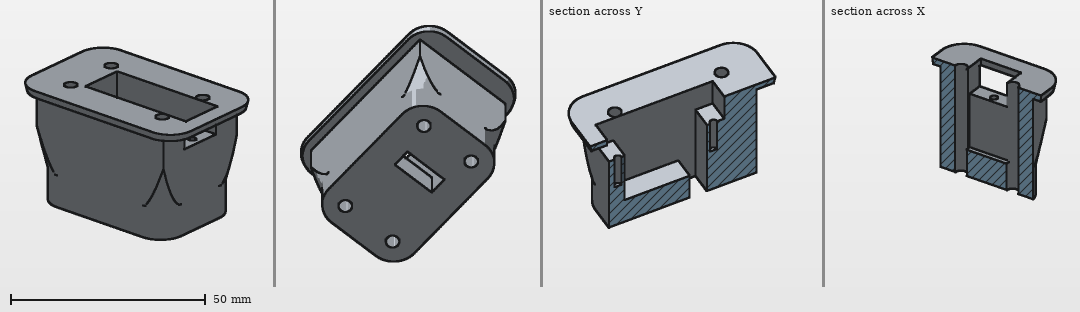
import cadquery as cq

TOTAL_HEIGHT = 32.0
FOOT_HEIGHT = 9.0
FOOT_LENGTH = 43.0
FOOT_WIDTH = 29.0
FLANGE_LENGTH = 54.0
FLANGE_WIDTH = 34.0
FLANGE_THICKNESS = 2.0
FLANGE_BOTTOM_Z = TOTAL_HEIGHT - FLANGE_THICKNESS
CORNER_RADIUS = 7.0

OPENING_CENTER_X = 5.0
OPENING_LENGTH = 34.0
POCKET_CENTER_X = 4.95
POCKET_LENGTH = 23.9
POCKET_WIDTH = 12.5
LEDGE_DEPTH = 8.0
DEPTH_BELOW_LEDGE = 16.0
LEDGE_Z = TOTAL_HEIGHT - LEDGE_DEPTH
FLOOR_Z = LEDGE_Z - DEPTH_BELOW_LEDGE
PASSAGE_LENGTH = 5.0

PILOT_DIAMETER = 2.0
PILOT_SPACING = 27.8
PILOT_DEPTH = 10.0
MOUNT_DIAMETER = 3.5
MOUNT_SPACING_X = 31.0
MOUNT_SPACING_Y = 16.0


def block(length, width, bottom_z, top_z, center_x=0.0):
    """Rectangular block centred on Y = 0, between two heights."""
    return (
        cq.Workplane("XY", origin=(center_x, 0, bottom_z))
        .rect(length, width)
        .extrude(top_z - bottom_z)
    )


def rounded_rectangle(length, width):
    """Sketch of a rectangle with the common corner radius."""
    return cq.Sketch().rect(length, width).vertices().fillet(CORNER_RADIUS)


def make_foot():
    """Straight foot with rounded corners."""
    return cq.Workplane("XY").placeSketch(rounded_rectangle(FOOT_LENGTH, FOOT_WIDTH)).extrude(FOOT_HEIGHT)


def make_flared_body():
    """Flare from the foot to the flange, trimmed flush with the foot sides below the flange.

    The trim leaves square corners under the flange that blend into the rounded foot corners.
    """
    foot_outline = rounded_rectangle(FOOT_LENGTH, FOOT_WIDTH)
    flange_outline = rounded_rectangle(FLANGE_LENGTH, FLANGE_WIDTH)
    flare_height = TOTAL_HEIGHT - FOOT_HEIGHT
    flare = (
        cq.Workplane("XY", origin=(0, 0, FOOT_HEIGHT))
        .placeSketch(foot_outline, flange_outline.moved(cq.Location(cq.Vector(0, 0, flare_height))))
        .loft(ruled=True)
    )
    sides = block(FOOT_LENGTH, FOOT_WIDTH, FOOT_HEIGHT, FLANGE_BOTTOM_Z)
    flange = block(FLANGE_LENGTH, FLANGE_WIDTH, FLANGE_BOTTOM_Z, TOTAL_HEIGHT)
    return flare.intersect(sides.union(flange))


def make_pocket():
    """Wide upper opening, deeper middle, and a slot through the bottom at the -X end."""
    opening = block(OPENING_LENGTH, POCKET_WIDTH, LEDGE_Z, TOTAL_HEIGHT, OPENING_CENTER_X)
    middle = block(POCKET_LENGTH, POCKET_WIDTH, FLOOR_Z, LEDGE_Z, POCKET_CENTER_X)
    passage_x = POCKET_CENTER_X - POCKET_LENGTH / 2 + PASSAGE_LENGTH / 2
    passage = block(PASSAGE_LENGTH, POCKET_WIDTH, 0, FLOOR_Z, passage_x)
    return opening.union(middle).union(passage)


def make_pilot_holes():
    """One blind hole in each pocket ledge."""
    return (
        cq.Workplane("XY", origin=(POCKET_CENTER_X, 0, LEDGE_Z))
        .rarray(PILOT_SPACING, 1, 2, 1)
        .circle(PILOT_DIAMETER / 2)
        .extrude(-PILOT_DEPTH)
    )


def make_mount_holes():
    """Four holes through the full height."""
    return (
        cq.Workplane("XY")
        .rarray(MOUNT_SPACING_X, MOUNT_SPACING_Y, 2, 2)
        .circle(MOUNT_DIAMETER / 2)
        .extrude(TOTAL_HEIGHT)
    )


result = make_foot().union(make_flared_body(), clean=False)
for cutter in (make_mount_holes(), make_pocket(), make_pilot_holes()):
    result = result.cut(cutter, clean=False)